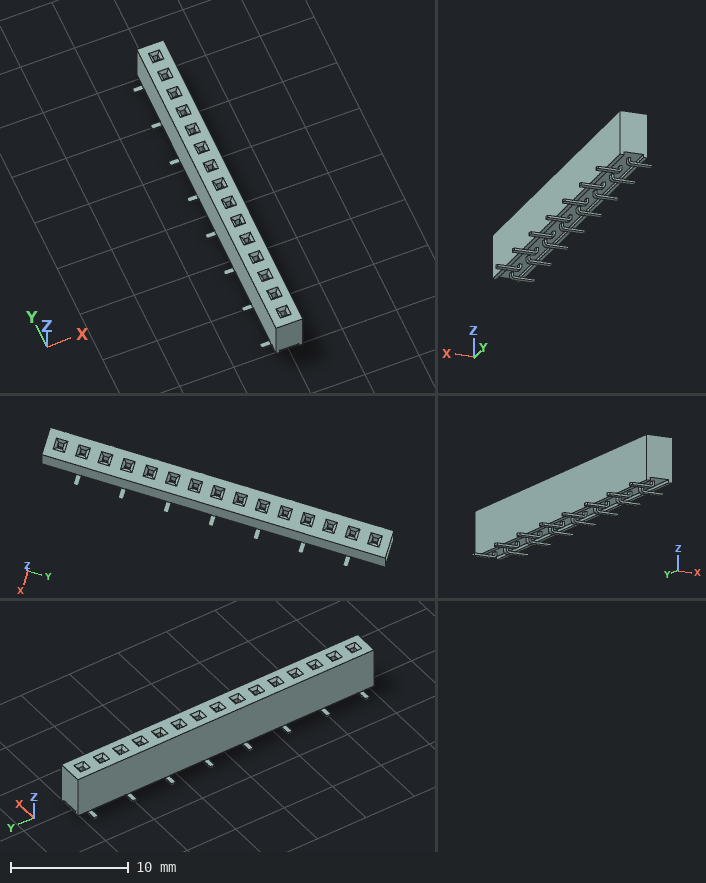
import cadquery as cq

contact_count = 15
pitch = 2.0

body_width = 2.5
end_margin = 1.3
body_length = (contact_count - 1) * pitch + 2 * end_margin
body_top = 4.3
body_bottom = 0.28

channel_width = 1.75
channel_top = 0.55

tail_span = 4.3
contact_thickness = 0.2
contact_width = 0.48
tip_bulge = 0.08
bend_outer_radius = 0.3
bend_inner_radius = bend_outer_radius - contact_thickness
stem_top = 2.8

mouth_width = 1.0
socket_width = contact_width
mouth_depth = (mouth_width - socket_width) / 2
socket_depth = 2.0


def make_body():
    body = (
        cq.Workplane("XY", origin=(0, 0, body_bottom))
        .rect(body_width, body_length)
        .extrude(body_top - body_bottom)
    )
    channel = (
        cq.Workplane("XY", origin=(0, 0, body_bottom))
        .rect(channel_width, body_length)
        .extrude(channel_top - body_bottom)
    )
    return body.cut(channel)


def make_socket(y):
    """Volume removed from the body around one contact stem."""
    mouth = (
        cq.Workplane("XY", origin=(0, y, body_top))
        .rect(mouth_width, mouth_width)
        .workplane(offset=-mouth_depth)
        .rect(socket_width, socket_width)
        .loft(ruled=True)
    )
    hole = (
        cq.Workplane("XY", origin=(0, y, body_top))
        .rect(socket_width, socket_width)
        .extrude(-socket_depth)
    )
    return mouth.union(hole)


def make_left_contact():
    """L-shaped strip at Y = 0 whose tail points toward -X and ends in a rounded tip."""
    half_thickness = contact_thickness / 2
    half_width = contact_width / 2
    tip_x = -tail_span / 2
    strip = (
        cq.Workplane("XZ")
        .moveTo(tip_x, 0)
        .lineTo(half_thickness - bend_outer_radius, 0)
        .radiusArc((half_thickness, bend_outer_radius), -bend_outer_radius)
        .lineTo(half_thickness, stem_top)
        .lineTo(-half_thickness, stem_top)
        .lineTo(-half_thickness, bend_outer_radius)
        .radiusArc((-half_thickness - bend_inner_radius, contact_thickness), bend_inner_radius)
        .lineTo(tip_x, contact_thickness)
        .close()
        .extrude(half_width, both=True)
    )
    plan_outline = (
        cq.Workplane("XY")
        .moveTo(tip_x + tip_bulge, half_width)
        .threePointArc((tip_x, 0), (tip_x + tip_bulge, -half_width))
        .lineTo(half_thickness, -half_width)
        .lineTo(half_thickness, half_width)
        .close()
        .extrude(stem_top)
    )
    return strip.intersect(plan_outline)


left_contact = make_left_contact()
right_contact = left_contact.mirror("YZ")

result = make_body()
for index in range(contact_count):
    contact_y = (index - (contact_count - 1) / 2) * pitch
    contact = left_contact if index % 2 == 0 else right_contact
    result = result.cut(make_socket(contact_y))
    result = result.union(contact.translate((0, contact_y, 0)))